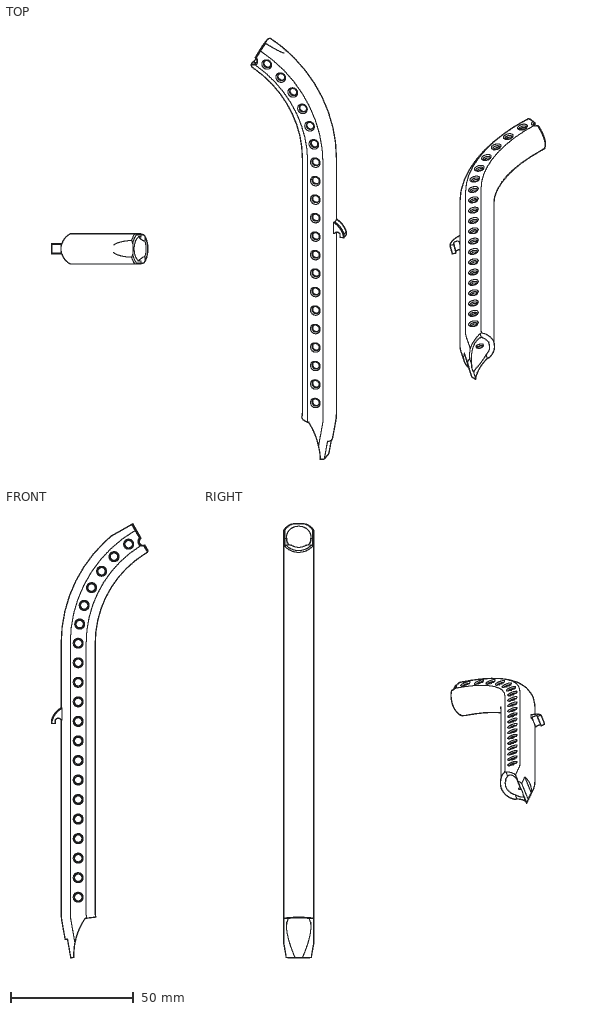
import cadquery as cq
import math

tube_diameter = 14.0
tube_radius = tube_diameter / 2
flat_spacing = 12.4
bore_diameter = 10.0

bend_radius = 50.0
bend_angle = 60.4
shank_length = 110.1
tip_bend_radius = 10.6
tip_angle = 10.0
tip_leg = 15.5
tip_depth = 128.3

hole_diameter = 3.0
countersink_diameter = 4.0
countersink_depth = 0.5
hole_pitch = 8.0
straight_hole_count = 14
bend_hole_count = 6
bend_hole_step = 9.0

tip_flat_depth = 0.97
tip_flat_length = 7.8
end_flat_depth = 0.9
end_flat_length = 14.2

end_chamfer = 0.5
end_notch_offset = 2.3

scoop_side_depth = 111.7
scoop_shoulder = (2.8, -112.2)
scoop_middle = (-0.2, -118.0)
scoop_end = (-1.8, -128.0)

hook_width = 4.2
hook_reach = 3.9
hook_top = -26.4
hook_bottom = -32.7
hook_lip_width = 1.6
hook_lip_height = 1.5
hook_arch_rise = 0.7
hook_back_bulge = 0.45
hook_chamfer = 0.4

cutter_size = 35.4


def bend_point(angle, radius):
    """Point in XZ at an angle along the upper bend."""
    a = math.radians(angle)
    return (bend_radius - radius * math.cos(a), radius * math.sin(a))


def tip_bend_point(angle):
    """Point in XZ at an angle along the small bend above the tip."""
    a = math.radians(angle)
    return (tip_bend_radius * (1 - math.cos(a)), -shank_length - tip_bend_radius * math.sin(a))


tip_direction = (math.sin(math.radians(tip_angle)), -math.cos(math.radians(tip_angle)))
tip_bend_end = tip_bend_point(tip_angle)
tip_foot = (
    tip_bend_end[0] + tip_leg * tip_direction[0],
    tip_bend_end[1] + tip_leg * tip_direction[1],
)


def along_tip(outward, up):
    """Point in XZ measured from the foot of the tilted tip, outward to -X and up the tip."""
    dx, dz = tip_direction
    return (tip_foot[0] + outward * dz - up * dx, tip_foot[1] - outward * dx - up * dz)


def centre_line():
    return (
        cq.Workplane("XZ")
        .moveTo(*tip_foot)
        .lineTo(*tip_bend_end)
        .threePointArc(tip_bend_point(tip_angle / 2), (0, -shank_length))
        .lineTo(0, 0)
        .threePointArc(bend_point(bend_angle / 2, bend_radius), bend_point(bend_angle, bend_radius))
    )


def foot_plane():
    """Plane square to the centre line at its lower end."""
    return cq.Workplane(
        cq.Plane(
            origin=(tip_foot[0], 0, tip_foot[1]),
            xDir=(-tip_direction[1], 0, tip_direction[0]),
            normal=(-tip_direction[0], 0, -tip_direction[1]),
        )
    )


def tube_body():
    half_flat = flat_spacing / 2
    half_chord = math.sqrt(tube_radius**2 - half_flat**2)
    section = (
        foot_plane()
        .moveTo(-half_chord, -half_flat)
        .lineTo(half_chord, -half_flat)
        .threePointArc((tube_radius, 0), (half_chord, half_flat))
        .lineTo(-half_chord, half_flat)
        .threePointArc((-tube_radius, 0), (-half_chord, -half_flat))
        .close()
    )
    end_x, end_z = bend_point(bend_angle, bend_radius)
    end_face = cq.selectors.NearestToPointSelector((end_x, 0, end_z))
    return section.sweep(centre_line()).faces(end_face).chamfer(end_chamfer)


def bore():
    return foot_plane().circle(bore_diameter / 2).sweep(centre_line())


def cross_cut(outline):
    """Extrude a closed XZ outline across the whole width of the tube."""
    return outline.extrude(cutter_size / 2, both=True)


def hole_cutter(x, z):
    half = flat_spacing / 2
    inner = half - countersink_depth
    profile = (
        cq.Workplane("XY")
        .moveTo(0, -half)
        .lineTo(countersink_diameter / 2, -half)
        .lineTo(hole_diameter / 2, -inner)
        .lineTo(hole_diameter / 2, inner)
        .lineTo(countersink_diameter / 2, half)
        .lineTo(0, half)
        .close()
        .revolve(360, (0, 0, 0), (0, 1, 0))
    )
    return profile.translate((x, 0, z))


def hole_centres():
    straight = [(0, -i * hole_pitch) for i in range(straight_hole_count)]
    curved = [bend_point((i + 1) * bend_hole_step, bend_radius) for i in range(bend_hole_count)]
    end = bend_point(bend_angle, bend_radius - end_notch_offset)
    return straight + curved + [end]


def scoop():
    return cross_cut(
        cq.Workplane("XZ")
        .moveTo(tube_radius, -scoop_side_depth)
        .lineTo(*scoop_shoulder)
        .threePointArc(scoop_middle, scoop_end)
        .lineTo(scoop_end[0], -tip_depth - cutter_size)
        .lineTo(cutter_size, -tip_depth - cutter_size)
        .lineTo(cutter_size, -scoop_side_depth)
        .close()
    )


def tip_flat():
    inner = tube_radius - tip_flat_depth
    corners = [
        along_tip(inner, 0),
        along_tip(inner, tip_flat_length),
        along_tip(tube_radius, tip_flat_length),
        along_tip(tube_radius, 0),
    ]
    return cross_cut(cq.Workplane("XZ").polyline(corners).close())


def end_flat():
    """Flat square to the upper end face, on the outside of the bend."""
    outer = bend_radius + tube_radius
    block = (
        cq.Workplane("XY")
        .box(end_flat_depth, cutter_size, end_flat_length, centered=(False, True, False))
        .translate((-outer, 0, -end_flat_length))
    )
    return block.rotate((0, 0, 0), (0, 1, 0), bend_angle).translate((bend_radius, 0, 0))


def hook():
    """Barb with a bowed back, an arched underside and a lip hanging from its end."""
    tip_x = -tube_radius - hook_reach
    root_x = -(tube_radius + bore_diameter / 2) / 2
    lip_x = tip_x + hook_lip_width
    lip_top = hook_bottom + hook_lip_height
    back_middle = (
        (tip_x - tube_radius) / 2 - hook_back_bulge,
        (hook_top + lip_top) / 2 + hook_back_bulge,
    )
    arch_top = ((lip_x - tube_radius) / 2, lip_top + hook_arch_rise)
    body = (
        cq.Workplane("XZ")
        .moveTo(root_x, hook_top)
        .lineTo(-tube_radius, hook_top)
        .threePointArc(back_middle, (tip_x, lip_top))
        .lineTo(tip_x, hook_bottom)
        .lineTo(lip_x, hook_bottom)
        .lineTo(lip_x, lip_top)
        .threePointArc(arch_top, (-tube_radius, lip_top))
        .lineTo(root_x, lip_top)
        .close()
        .extrude(hook_width / 2, both=True)
    )
    back_face = cq.selectors.NearestToPointSelector((back_middle[0], 0, back_middle[1]))
    return body.faces(back_face).edges("not |Y").chamfer(hook_chamfer)


result = tube_body().cut(bore())
for x, z in hole_centres():
    result = result.cut(hole_cutter(x, z))
result = result.cut(scoop()).cut(tip_flat()).cut(end_flat()).union(hook())